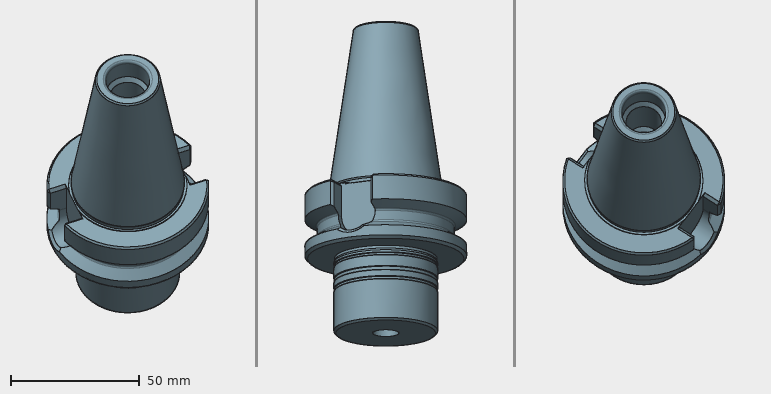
import cadquery as cq
import math

total_height = 122.4

tolerance = 0.01

nose_radius = 40.5 / 2
nose_groove_radius = 40.0 / 2
nose_chamfer = 0.9
nose_grooves = [(16.4, 17.7), (20.1, 21.8), (26.1, 27.3)]
nose_groove_depth = nose_radius - nose_groove_radius
undercut_bottom = 28.2
undercut_shoulder = 28.9

flange_radius = 63.0 / 2
flange_bottom = 30.0
flange_top = 55.9
bottom_edge_radial = 1.1
bottom_edge_height = 1.1
top_edge_chamfer = 0.7
v_groove_radius = 26.7
v_groove_bottom = 38.0
v_groove_top = 42.8
v_root_fillet = 1.0
v_flank_height = (flange_radius - v_groove_radius) * math.tan(math.radians(30))

neck_radius = 43.8 / 2
neck_relief_radius = 23.0
neck_relief_depth = 0.4
neck_top = 57.0
taper_bottom = 57.7
taper_top_radius = 25.3 / 2
taper_top_chamfer = 0.6
taper_bottom_radius = taper_top_radius + (total_height - taper_bottom) * 7 / 48

through_radius = 10.2 / 2
thread_radius = 13.8 / 2
thread_depth = 30.0
thread_floor_height = (thread_radius - through_radius) * math.tan(math.radians(30))
pilot_radius = 17.0 / 2
pilot_depth = 9.2
pilot_floor_height = pilot_radius - thread_radius
bore_mouth_radius = 19.1 / 2
bore_mouth_fillet = bore_mouth_radius - pilot_radius

slot_width = 16.0
slot_floor = 22.5
slot_bottom = 34.3
slot_chamfer = 1.2


def make_body():
    """Revolve the outer outline about Z, from the nose up to the small end of the taper."""
    outline = [(0, 0), (nose_radius - nose_chamfer, 0), (nose_radius, nose_chamfer)]
    for groove_bottom, groove_top in nose_grooves:
        outline += [
            (nose_radius, groove_bottom),
            (nose_groove_radius, groove_bottom + nose_groove_depth),
            (nose_groove_radius, groove_top - nose_groove_depth),
            (nose_radius, groove_top),
        ]
    outline += [
        (nose_radius, undercut_bottom),
        (nose_groove_radius, undercut_shoulder),
        (nose_groove_radius, flange_bottom),
        (flange_radius - bottom_edge_radial, flange_bottom),
        (flange_radius, flange_bottom + bottom_edge_height),
        (flange_radius, v_groove_bottom - v_flank_height),
        (v_groove_radius, v_groove_bottom),
        (v_groove_radius, v_groove_top),
        (flange_radius, v_groove_top + v_flank_height),
        (flange_radius, flange_top - top_edge_chamfer),
        (flange_radius - top_edge_chamfer, flange_top),
        (neck_relief_radius, flange_top),
        (neck_relief_radius, flange_top - neck_relief_depth),
        (neck_radius, flange_top - neck_relief_depth),
        (neck_radius, neck_top),
        (taper_bottom_radius, taper_bottom),
        (taper_top_radius, total_height - taper_top_chamfer),
        (taper_top_radius - taper_top_chamfer, total_height),
        (0, total_height),
    ]
    body = cq.Workplane("XZ").polyline(outline).close().revolve(360, (0, 0, 0), (0, 1, 0))
    v_roots = [
        edge
        for edge in body.edges("%CIRCLE").vals()
        if abs(edge.radius() - v_groove_radius) < tolerance
    ]
    return body.newObject(v_roots).fillet(v_root_fillet)


def make_bore():
    """Stepped hole along Z, widest at the small end of the taper."""
    outline = [
        (0, 0),
        (through_radius, 0),
        (through_radius, total_height - thread_depth - thread_floor_height),
        (thread_radius, total_height - thread_depth),
        (thread_radius, total_height - pilot_depth - pilot_floor_height),
        (pilot_radius, total_height - pilot_depth),
        (pilot_radius, total_height - bore_mouth_fillet),
    ]
    return (
        cq.Workplane("XZ")
        .polyline(outline)
        .radiusArc((bore_mouth_radius, total_height), bore_mouth_fillet)
        .lineTo(0, total_height)
        .close()
        .revolve(360, (0, 0, 0), (0, 1, 0))
    )


def make_slot():
    """Round-bottomed slot on the -Y side, cut from its flat floor out past the flange rim."""
    half_width = slot_width / 2
    arc_center = slot_bottom + half_width
    return (
        cq.Workplane("XZ", origin=(0, -slot_floor, 0))
        .moveTo(-half_width, taper_bottom)
        .lineTo(-half_width, arc_center)
        .threePointArc((0, slot_bottom), (half_width, arc_center))
        .lineTo(half_width, taper_bottom)
        .close()
        .extrude(flange_radius)
    )


def chamfer_slot_edges(body):
    """Break the slot edges on the flange top and on the two flange rims."""
    half_width = slot_width / 2
    rim_y = math.sqrt(flange_radius**2 - half_width**2)

    def on_slot_mouth(edge):
        middle = edge.positionAt(0.5)
        on_wall = abs(abs(middle.x) - half_width) < tolerance
        on_top = middle.z > flange_top - tolerance and abs(middle.y) > neck_relief_radius
        on_upper_rim = abs(abs(middle.y) - rim_y) < tolerance and middle.z > v_groove_top
        on_top_bevel = middle.z > flange_top - top_edge_chamfer and abs(middle.y) > neck_relief_radius
        on_lower_rim = (
            abs(middle.x) < half_width
            and slot_bottom - tolerance < middle.z < v_groove_bottom - v_flank_height
            and abs(math.hypot(middle.x, middle.y) - flange_radius) < tolerance
        )
        return (on_wall and (on_top or on_upper_rim or on_top_bevel)) or on_lower_rim

    edges = [edge for edge in body.edges().vals() if on_slot_mouth(edge)]
    return body.newObject(edges).chamfer(slot_chamfer)


slot = make_slot()
opposite_slot = slot.rotate((0, 0, 0), (0, 0, 1), 180)
slotted_body = make_body().cut(slot).cut(opposite_slot)
result = chamfer_slot_edges(slotted_body).cut(make_bore())